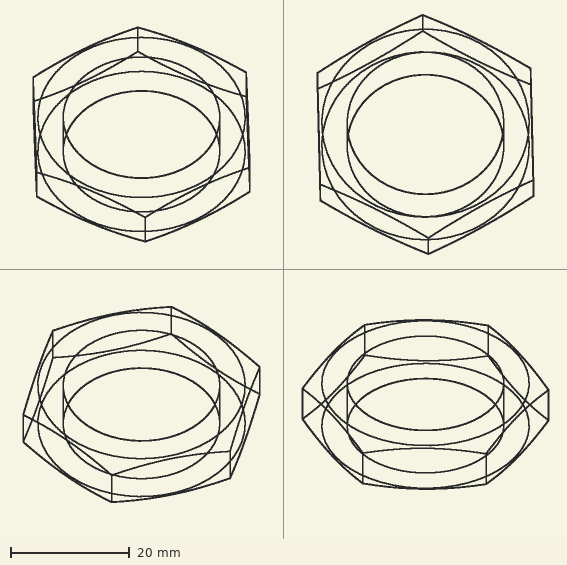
import cadquery as cq
import math

across_corners = 41.55
thickness = 9.0
bore_diameter = 26.45
face_diameter = 35.0
chamfer_height = 1.3

corner_radius = across_corners / 2
face_radius = face_diameter / 2
half_thickness = thickness / 2
edge_height = half_thickness - chamfer_height


def hexagon_blank():
    """Hexagonal prism with two corners on the Y axis."""
    corners = []
    for index in range(6):
        angle = math.radians(90 + 60 * index)
        corners.append((corner_radius * math.cos(angle), corner_radius * math.sin(angle)))
    base = cq.Workplane("XY").workplane(offset=-half_thickness)
    return base.polyline(corners).close().extrude(thickness)


def chamfer_envelope():
    """Turned disc with a conical chamfer at both ends."""
    return (
        cq.Workplane("XZ")
        .moveTo(0, -half_thickness)
        .lineTo(face_radius, -half_thickness)
        .lineTo(corner_radius, -edge_height)
        .lineTo(corner_radius, edge_height)
        .lineTo(face_radius, half_thickness)
        .lineTo(0, half_thickness)
        .close()
        .revolve(360, (0, 0, 0), (0, 1, 0))
    )


bore = cq.Workplane("XY").workplane(offset=-half_thickness).circle(bore_diameter / 2).extrude(thickness)

result = hexagon_blank().intersect(chamfer_envelope()).cut(bore)